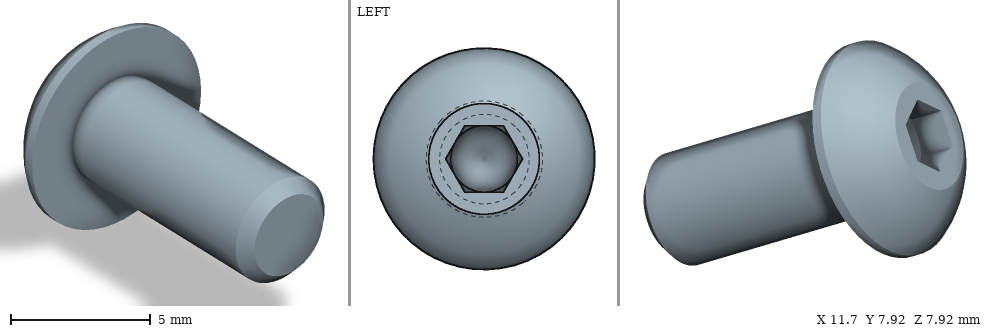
import cadquery as cq
import math

INCH = 25.4

head_diameter = 0.312 * INCH
head_height = 0.087 * INCH
rim_thickness = 0.015 * INCH
face_diameter = head_diameter / 2

shank_diameter = 0.164 * INCH
shank_length = 0.375 * INCH
tip_chamfer = 0.48

socket_sides = 6
socket_across_flats = 3 / 32 * INCH
socket_depth = 0.052 * INCH
socket_cone_angle = 120.0

head_radius = head_diameter / 2
face_radius = face_diameter / 2
shank_radius = shank_diameter / 2
dome_height = head_height - rim_thickness


def dome_midpoint():
    """Point (x, radius) halfway up the spherical dome, whose centre lies on the axis."""
    center_depth = (dome_height**2 + head_radius**2 - face_radius**2) / (2 * dome_height)
    sphere_radius = math.hypot(center_depth, face_radius)
    depth = dome_height / 2
    radius = math.sqrt(sphere_radius**2 - (center_depth - depth) ** 2)
    return (depth - head_height, radius)


def make_body():
    """Head and shank as one profile revolved about the X axis."""
    return (
        cq.Workplane("XY")
        .moveTo(-head_height, 0)
        .lineTo(-head_height, face_radius)
        .threePointArc(dome_midpoint(), (-rim_thickness, head_radius))
        .lineTo(0, head_radius)
        .lineTo(0, shank_radius)
        .lineTo(shank_length - tip_chamfer, shank_radius)
        .lineTo(shank_length, shank_radius - tip_chamfer)
        .lineTo(shank_length, 0)
        .close()
        .revolve(360, (0, 0, 0), (1, 0, 0))
    )


def make_socket():
    """Hexagonal recess with corners at +Y and -Y and a conical drill point at its floor."""
    across_corners = socket_across_flats / math.cos(math.pi / socket_sides)
    hexagon = (
        cq.Workplane("YZ", origin=(-head_height, 0, 0))
        .polygon(socket_sides, across_corners)
        .extrude(socket_depth)
    )
    cone_radius = socket_across_flats / 2
    cone_depth = cone_radius / math.tan(math.radians(socket_cone_angle / 2))
    floor_x = socket_depth - head_height
    drill_point = (
        cq.Workplane("XY")
        .polyline([(floor_x, 0), (floor_x, cone_radius), (floor_x + cone_depth, 0)])
        .close()
        .revolve(360, (0, 0, 0), (1, 0, 0))
    )
    return hexagon.union(drill_point)


result = make_body().cut(make_socket())